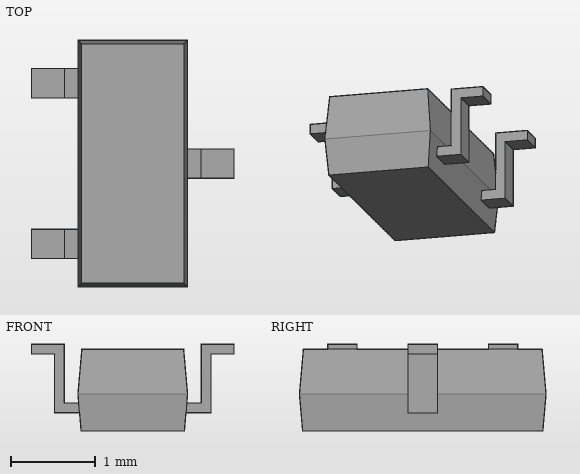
import cadquery as cq

body_width = 1.30
body_length = 2.92
lower_height = 0.437
upper_height = 0.533
draft_angle = 5.0

lead_span = 2.40
lead_width = 0.35
lead_thickness = 0.118
lead_pitch = 1.90
foot_length = 0.39
foot_standoff = 0.06
lead_height = 0.815
embed_depth = 0.20

body_height = lower_height + upper_height
foot_top = body_height + foot_standoff
lead_bottom = foot_top - lead_height


def make_body():
    """Two drafted halves meeting at the parting line."""
    parting = cq.Workplane("XY").workplane(offset=lower_height)
    upper = parting.rect(body_width, body_length).extrude(upper_height, taper=draft_angle)
    lower = parting.rect(body_width, body_length).extrude(-lower_height, taper=draft_angle)
    return upper.union(lower)


def make_lead(side, y_center):
    """One bent lead; side is -1 for -X or +1 for +X."""
    tip = side * lead_span / 2
    riser_inner = tip - side * foot_length
    riser_outer = riser_inner + side * lead_thickness
    arm_end = side * (body_width / 2 - embed_depth)
    profile = [
        (tip, foot_top),
        (riser_inner, foot_top),
        (riser_inner, lead_bottom + lead_thickness),
        (arm_end, lead_bottom + lead_thickness),
        (arm_end, lead_bottom),
        (riser_outer, lead_bottom),
        (riser_outer, foot_top - lead_thickness),
        (tip, foot_top - lead_thickness),
    ]
    strip = cq.Workplane("XZ").polyline(profile).close().extrude(lead_width / 2, both=True)
    return strip.translate((0, y_center, 0))


result = make_body()
for side, y_center in [(-1, -lead_pitch / 2), (-1, lead_pitch / 2), (1, 0)]:
    result = result.union(make_lead(side, y_center))